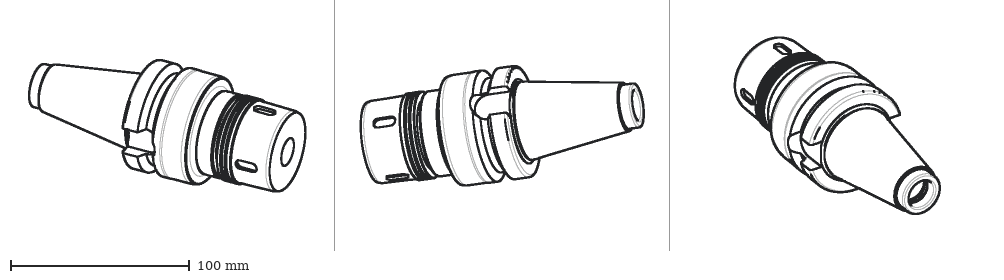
import cadquery as cq
import math

LENGTH = 155.4

SHANK_R = 25.0 / 2
SHANK_LENGTH = 6.7
EDGE_ROUND = 1.0
TAPER_SMALL_R = 27.7 / 2
TAPER_LEAD_IN = 0.5
TAPER_LEAD_DROP = 0.3
TAPER_LARGE_R = 44.5 / 2
TAPER_END = 65.1
NECK_R = 43.5 / 2
NECK_START = 65.9

FLANGE_R = 63.0 / 2
FLANGE_START = 67.0
FLANGE_ROUND = 1.4
RELIEF_START = 66.5
RELIEF_ROUND = 1.1
GROOVE_R = 53.3 / 2
GROOVE_START = 76.8
GROOVE_FLOOR_START = 79.7
GROOVE_FLOOR_END = 83.9
GROOVE_END = 86.7
RIM_END = 91.2

BODY_R = 62.5 / 2
BODY_START = 92.3
BODY_TAPER_START = 104.5
BODY_END = 107.2
BODY_END_R = 61.5 / 2
BODY_CHAMFER = 0.5
BODY_FILLET = 2.3
HUB_FILLET_R = 47.2 / 2
HUB_START = 110.2
HUB_R = 48.2 / 2
HUB_END = 120.5
HUB_CHAMFER = 0.8

GAP_R = 39.0 / 2
NUT_START = 123.2
RING_R = 49.1 / 2
RING_GROOVE_R = 47.9 / 2
RING_CHAMFER = 0.3
RING_SPANS = ((NUT_START, 125.7), (126.2, 128.5), (129.0, 132.0))
SLEEVE_START_R = 47.5 / 2
SLEEVE_END_R = 46.6 / 2
NUT_CHAMFER_LENGTH = 2.0
NUT_CHAMFER_DEPTH = 0.6

ENTRY_BORE_R = 17.0 / 2
ENTRY_BORE_DEPTH = 6.8
BORE_R = 16.0 / 2
BORE_GROOVE_R = 17.4 / 2
BORE_GROOVE_START = 9.0
BORE_GROOVE_END = 10.1

KEY_WIDTH = 16.3
KEY_FLOOR = 23.0
KEY_END = 88.1
SLOT_START = 134.7
SLOT_LENGTH = 12.9
SLOT_WIDTH = 5.6
SLOT_FLOOR = 21.6
SLOT_COUNT = 4


def fillet_mid(center_x, center_r, radius, x_side, r_side):
    """Middle point of a quarter-circle arc, on the given side of its center."""
    reach = radius * math.sqrt(0.5)
    return (center_x + x_side * reach, center_r + r_side * reach)


def shank_and_taper(outline):
    return (
        outline.lineTo(0, SHANK_R - EDGE_ROUND)
        .threePointArc(
            fillet_mid(EDGE_ROUND, SHANK_R - EDGE_ROUND, EDGE_ROUND, -1, 1),
            (EDGE_ROUND, SHANK_R),
        )
        .lineTo(SHANK_LENGTH, SHANK_R)
        .lineTo(SHANK_LENGTH, TAPER_SMALL_R - TAPER_LEAD_DROP)
        .lineTo(SHANK_LENGTH + TAPER_LEAD_IN, TAPER_SMALL_R)
        .lineTo(TAPER_END, TAPER_LARGE_R)
        .lineTo(NECK_START, NECK_R)
    )


def flange(outline):
    relief_center_r = NECK_R + RELIEF_ROUND
    relief_outer_r = relief_center_r + math.sqrt(RELIEF_ROUND**2 - (FLANGE_START - RELIEF_START) ** 2)
    return (
        outline.lineTo(RELIEF_START, NECK_R)
        .threePointArc(
            (RELIEF_START + RELIEF_ROUND, relief_center_r),
            (FLANGE_START, relief_outer_r),
        )
        .lineTo(FLANGE_START, FLANGE_R - FLANGE_ROUND)
        .threePointArc(
            fillet_mid(FLANGE_START + FLANGE_ROUND, FLANGE_R - FLANGE_ROUND, FLANGE_ROUND, -1, 1),
            (FLANGE_START + FLANGE_ROUND, FLANGE_R),
        )
        .lineTo(GROOVE_START, FLANGE_R)
        .lineTo(GROOVE_FLOOR_START, GROOVE_R)
        .lineTo(GROOVE_FLOOR_END, GROOVE_R)
        .lineTo(GROOVE_END, FLANGE_R)
        .lineTo(RIM_END, FLANGE_R)
    )


def body_and_hub(outline):
    return (
        outline.lineTo(BODY_START, BODY_R)
        .lineTo(BODY_TAPER_START, BODY_R)
        .lineTo(BODY_END - BODY_CHAMFER, BODY_END_R)
        .lineTo(BODY_END, BODY_END_R - BODY_CHAMFER)
        .lineTo(BODY_END, HUB_FILLET_R + BODY_FILLET)
        .threePointArc(
            fillet_mid(BODY_END + BODY_FILLET, HUB_FILLET_R + BODY_FILLET, BODY_FILLET, -1, -1),
            (BODY_END + BODY_FILLET, HUB_FILLET_R),
        )
        .lineTo(HUB_START, HUB_FILLET_R)
        .lineTo(HUB_START, HUB_R)
        .lineTo(HUB_END - HUB_CHAMFER, HUB_R)
        .lineTo(HUB_END, HUB_R - HUB_CHAMFER)
        .lineTo(HUB_END, GAP_R)
        .lineTo(NUT_START, GAP_R)
    )


def nut(outline):
    for ring_start, ring_end in RING_SPANS:
        outline = (
            outline.lineTo(ring_start, RING_GROOVE_R)
            .lineTo(ring_start, RING_R - RING_CHAMFER)
            .lineTo(ring_start + RING_CHAMFER, RING_R)
            .lineTo(ring_end - RING_CHAMFER, RING_R)
            .lineTo(ring_end, RING_R - RING_CHAMFER)
            .lineTo(ring_end, RING_GROOVE_R)
        )
    sleeve_start = RING_SPANS[-1][1]
    return (
        outline.lineTo(sleeve_start, SLEEVE_START_R)
        .lineTo(LENGTH - NUT_CHAMFER_LENGTH, SLEEVE_END_R)
        .lineTo(LENGTH, SLEEVE_END_R - NUT_CHAMFER_DEPTH)
    )


def bore(outline):
    return (
        outline.lineTo(LENGTH, BORE_R)
        .lineTo(BORE_GROOVE_END, BORE_R)
        .lineTo(BORE_GROOVE_END, BORE_GROOVE_R)
        .lineTo(BORE_GROOVE_START, BORE_GROOVE_R)
        .lineTo(BORE_GROOVE_START, BORE_R)
        .lineTo(ENTRY_BORE_DEPTH, BORE_R)
        .lineTo(ENTRY_BORE_DEPTH, ENTRY_BORE_R)
        .lineTo(EDGE_ROUND, ENTRY_BORE_R)
        .threePointArc(
            fillet_mid(EDGE_ROUND, ENTRY_BORE_R + EDGE_ROUND, EDGE_ROUND, -1, -1),
            (0, ENTRY_BORE_R + EDGE_ROUND),
        )
    )


def turned_body():
    outline = cq.Workplane("XY").moveTo(0, ENTRY_BORE_R + EDGE_ROUND)
    for section in (shank_and_taper, flange, body_and_hub, nut, bore):
        outline = section(outline)
    return outline.close().revolve(360, (0, 0, 0), (1, 0, 0))


def keyway_cutter():
    """Open-ended keyway with a round inner end, cut into the +Z side down to its flat floor."""
    end_center = KEY_END - KEY_WIDTH / 2
    open_end = NECK_START
    return (
        cq.Workplane("XY", origin=(0, 0, KEY_FLOOR))
        .moveTo(open_end, -KEY_WIDTH / 2)
        .lineTo(end_center, -KEY_WIDTH / 2)
        .threePointArc((KEY_END, 0), (end_center, KEY_WIDTH / 2))
        .lineTo(open_end, KEY_WIDTH / 2)
        .close()
        .extrude(FLANGE_R)
    )


def nut_slot_cutter():
    """Round-ended wrench slot, cut into the +Z side of the nut down to its flat floor."""
    return (
        cq.Workplane("XY", origin=(SLOT_START + SLOT_LENGTH / 2, 0, SLOT_FLOOR))
        .slot2D(SLOT_LENGTH, SLOT_WIDTH)
        .extrude(RING_R)
    )


def around_axis(shape, angle):
    return shape.rotate((0, 0, 0), (1, 0, 0), angle)


result = turned_body()
for key_angle in (90, -90):
    result = result.cut(around_axis(keyway_cutter(), key_angle))
for slot_index in range(SLOT_COUNT):
    result = result.cut(around_axis(nut_slot_cutter(), slot_index * 360 / SLOT_COUNT))